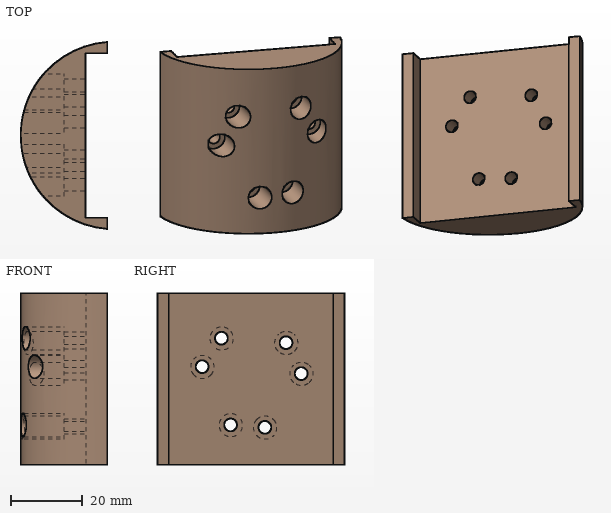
import cadquery as cq

width = 52.35
depth = 24.25
height = 48.0

channel_width = 45.95
channel_floor_x = 18.15

hole_diameter = 3.5
head_diameter = 6.5
head_floor_x = 12.05
hole_centers = [
    (9.8, 34.15),
    (14.05, 25.5),
    (-8.25, 35.4),
    (-13.65, 27.45),
    (3.9, 10.45),
    (-5.7, 11.15),
]


def make_body():
    """Circular segment extruded to full height, with its crown on X = 0."""
    half_width = width / 2
    return (
        cq.Workplane("XY")
        .moveTo(depth, -half_width)
        .threePointArc((0, 0), (depth, half_width))
        .close()
        .extrude(height)
    )


def make_channel():
    """Rectangular channel that is open at the back, top and bottom."""
    return (
        cq.Workplane("XY")
        .box(depth - channel_floor_x, channel_width, height, centered=(False, True, False))
        .translate((channel_floor_x, 0, 0))
    )


def make_holes(diameter, length):
    """Cylinders running from the crown plane X = 0 in the +X direction."""
    return cq.Workplane("YZ").pushPoints(hole_centers).circle(diameter / 2).extrude(length)


result = (
    make_body()
    .cut(make_channel())
    .cut(make_holes(head_diameter, head_floor_x))
    .cut(make_holes(hole_diameter, depth))
)